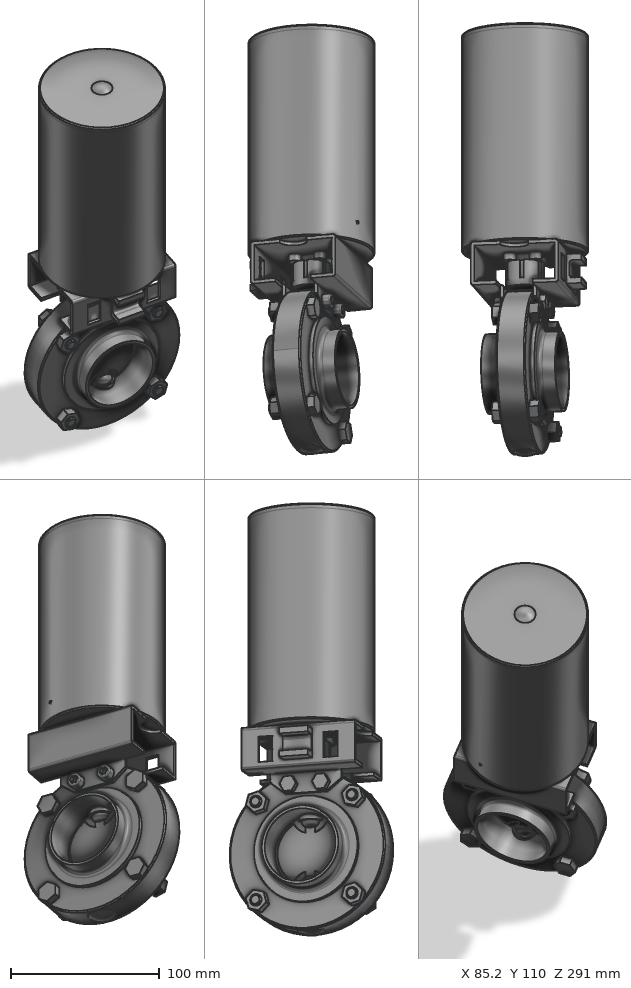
import cadquery as cq
import math


FLANGE_DIAMETER = 110
FLANGE_WIDTH = 20
FLANGE_CHAMFER = 1
COLLAR_DIAMETER = 73
COLLAR_HEIGHT = 3
PIPE_DIAMETER = 54
PIPE_BORE = 50
PIPE_LENGTH = 50.6
NECK_RADIUS = 3.5
BEARING_DIAMETER = 20
BEARING_BOTTOM_Z = -57
BEARING_EDGE_Z = -54

DISC_THICKNESS = 6
DISC_FACE_DIAMETER = 46.4
DISC_EDGE_CHAMFER = 1
HUB_DIAMETER = 14.2
HUB_END_Z = 16
HUB_COLLAR_DIAMETER = 17
HUB_COLLAR_Z = 21.5
HUB_RECESS_DIAMETER = 26
HUB_RECESS_Z = 26
HUB_RECESS_DEPTH = 1
HUB_RIB_WIDTH = 6.8
HUB_RIB_HEIGHT = 6

BOLT_CIRCLE = 96
BOLT_DIAMETER = 8
BOLT_ACROSS_FLATS = 13
BOLT_HEAD_HEIGHT = 5.3
BOLT_NUT_HEIGHT = 6.5
BOLT_NUT_TURN = -15
BOLT_END = 8.2
BOLT_END_CHAMFER = 1

COUPLING_DIAMETER = 26
COUPLING_BOTTOM_Z = FLANGE_DIAMETER / 2
COUPLING_TOP_Z = 75.2
COUPLING_CHAMFER = 3
COUPLING_SLOTS = 6
COUPLING_SLOT_WIDTH = 2.8
COUPLING_SLOT_BOTTOM_Z = 62.8
COUPLING_SLOT_DEPTH = 2

SHEET = 2.5
BRACKET_WIDTH = 60
BRACKET_LENGTH = 80
BRACKET_BOTTOM_Z = 53.2
BRACKET_TOP_Z = 82.8
BRACKET_BEND_RADIUS = 2
TAB_BEND_RADIUS = 0.7
NOTCH_DIAMETER = 19
TAB_WIDTH = 50
TAB_TIP_WIDTH = 29
TAB_SHOULDER_Z = 47.2
TAB_BOTTOM_Z = 39
WINDOW_OUTER_Y = 28
WINDOW_INNER_Y = 18
WINDOW_BOTTOM_Z = 58
WINDOW_TOP_Z = 75.5

SCREW_DIAMETER = 6
SCREW_SPACING = 22.9
SCREW_Z = 45
SCREW_HEAD_DIAMETER = 10
SCREW_HEAD_HEIGHT = 6
SCREW_HEAD_FILLET = 0.8
SCREW_SOCKET_FLATS = 5
SCREW_SOCKET_DEPTH = 3
SCREW_NUT_FLATS = 10
SCREW_NUT_HEIGHT = 4.5

HOLDER_LENGTH = 20
HOLDER_END_X = 40.2
HOLDER_BOTTOM_Z = 58.2
HOLDER_TOP_Z = 78.4
HOLDER_SLOT_WIDTH = 12
HOLDER_SLOT_Z = 68.2
HOLDER_SLOT_FLOOR_X = 32
HOLDER_SLOT_FILLET = 2.4

ACTUATOR_DIAMETER = 85.2
ACTUATOR_TOP_Z = 231.8
ACTUATOR_EDGE = 1
CAP_SEAM_Z = 228.6
BUTTON_DIAMETER = 14.2
BUTTON_HEIGHT = 2.2
DRIVE_SHAFT_DIAMETER = 16
MOUNT_SCREW_DIAMETER = 8.5
MOUNT_SCREW_HEIGHT = 4.8
MOUNT_SCREW_OFFSET = 8.8
VENT_DIAMETER = 2
VENT_Y = 18
VENT_Z = 96.5
VENT_DEPTH = 3

FLANGE_FACE_X = FLANGE_WIDTH / 2
TAB_FACE_X = FLANGE_FACE_X + SHEET


def x_cylinder(diameter, start, end, y=0, z=0):
    """Cylinder along X from start to end."""
    plane = cq.Workplane("YZ", origin=(start, y, z))
    return plane.circle(diameter / 2).extrude(end - start)


def x_hexagon(across_flats, start, end, y, z, turn):
    """Hexagonal prism along X; a zero turn puts two corners in the Y direction."""
    plane = cq.Workplane("YZ", origin=(start, y, z))
    corners = across_flats / math.cos(math.radians(30))
    return plane.transformed(rotate=(0, 0, turn)).polygon(6, corners).extrude(end - start)


def z_cylinder(diameter, bottom, top, x=0, y=0):
    """Cylinder along Z from bottom to top."""
    return cq.Workplane("XY", origin=(x, y, bottom)).circle(diameter / 2).extrude(top - bottom)


def make_flanges_and_pipes():
    """Clamped flange pair with a raised collar and a pipe stub on each side."""
    body = x_cylinder(FLANGE_DIAMETER, -FLANGE_FACE_X, FLANGE_FACE_X).edges().chamfer(FLANGE_CHAMFER)

    collar_x = FLANGE_FACE_X + COLLAR_HEIGHT
    body = body.union(x_cylinder(COLLAR_DIAMETER, -collar_x, collar_x))

    pipe_radius = PIPE_DIAMETER / 2
    arc_reach = NECK_RADIUS * (1 - math.sqrt(0.5))
    pipe = (
        cq.Workplane("XY")
        .lineTo(0, pipe_radius + NECK_RADIUS)
        .lineTo(collar_x, pipe_radius + NECK_RADIUS)
        .threePointArc(
            (collar_x + arc_reach, pipe_radius + arc_reach),
            (collar_x + NECK_RADIUS, pipe_radius),
        )
        .lineTo(PIPE_LENGTH / 2, pipe_radius)
        .lineTo(PIPE_LENGTH / 2, 0)
        .close()
        .revolve(360, (0, 0, 0), (1, 0, 0))
    )
    return body.union(pipe).union(pipe.mirror("YZ"))


def make_lower_bearing():
    """Domed end of the lower disc bearing, showing below the flange."""
    radius = BEARING_DIAMETER / 2
    rise = BEARING_EDGE_Z - BEARING_BOTTOM_Z
    dome_radius = (radius**2 + rise**2) / (2 * rise)
    bearing_top = -PIPE_DIAMETER / 2
    dome = cq.Workplane("XY", origin=(0, 0, BEARING_BOTTOM_Z + dome_radius)).sphere(dome_radius)
    return z_cylinder(BEARING_DIAMETER, BEARING_BOTTOM_Z, bearing_top).intersect(dome)


def make_hub():
    """Upper stem hub of the disc: a round-ended boss with a rib and a collar against the bore."""
    radius = HUB_DIAMETER / 2
    bore_radius = PIPE_BORE / 2
    hub = z_cylinder(HUB_DIAMETER, HUB_END_Z + radius, bore_radius)
    hub = hub.union(cq.Workplane("XY", origin=(0, 0, HUB_END_Z + radius)).sphere(radius))
    rib_bottom = HUB_RECESS_Z - HUB_RECESS_DIAMETER / 2
    rib = cq.Workplane("XY", origin=(0, 0, rib_bottom)).box(
        DISC_THICKNESS, HUB_RIB_WIDTH, HUB_RIB_HEIGHT, centered=(True, True, False)
    )
    hub = hub.union(rib)
    hub = hub.union(z_cylinder(HUB_COLLAR_DIAMETER, HUB_COLLAR_Z, bore_radius))
    return hub.intersect(x_cylinder(PIPE_BORE, -bore_radius, bore_radius))


def make_disc():
    """Closed disc filling the bore, with a recessed stem hub at the top and bottom."""
    half = DISC_THICKNESS / 2
    disc = x_cylinder(PIPE_BORE, -half + DISC_EDGE_CHAMFER, half - DISC_EDGE_CHAMFER)
    disc = disc.union(x_cylinder(DISC_FACE_DIAMETER, -half, half))
    for z in (-HUB_RECESS_Z, HUB_RECESS_Z):
        for face_x in (-half, half - HUB_RECESS_DEPTH):
            recess = x_cylinder(HUB_RECESS_DIAMETER, face_x, face_x + HUB_RECESS_DEPTH, 0, z)
            disc = disc.cut(recess)
    hub = make_hub()
    return disc.union(hub).union(hub.mirror("XY"))


def make_flange_bolt(y, z, turn):
    """Hexagon bolt through both flanges, with its nut."""
    bolt = x_cylinder(BOLT_DIAMETER, -FLANGE_FACE_X, FLANGE_FACE_X + BOLT_END, y, z)
    bolt = bolt.faces(">X").chamfer(BOLT_END_CHAMFER)
    head = x_hexagon(BOLT_ACROSS_FLATS, -FLANGE_FACE_X - BOLT_HEAD_HEIGHT, -FLANGE_FACE_X, y, z, turn)
    nut_end = FLANGE_FACE_X + BOLT_NUT_HEIGHT
    nut = x_hexagon(BOLT_ACROSS_FLATS, FLANGE_FACE_X, nut_end, y, z, turn + BOLT_NUT_TURN)
    return bolt.union(head).union(nut)


def make_coupling():
    """Slotted coupling on the stem, seated on the flange."""
    coupling = z_cylinder(COUPLING_DIAMETER, COUPLING_BOTTOM_Z, COUPLING_TOP_Z)
    coupling = coupling.faces("<Z").chamfer(COUPLING_CHAMFER)
    slot_height = COUPLING_TOP_Z - COUPLING_SLOT_BOTTOM_Z
    for index in range(COUPLING_SLOTS):
        slot = (
            cq.Workplane("XY", origin=(0, -COUPLING_DIAMETER / 2, COUPLING_SLOT_BOTTOM_Z))
            .box(COUPLING_SLOT_WIDTH, 2 * COUPLING_SLOT_DEPTH, slot_height, centered=(True, True, False))
            .rotate((0, 0, 0), (0, 0, 1), index * 360 / COUPLING_SLOTS)
        )
        coupling = coupling.cut(slot)
    stem = z_cylinder(DRIVE_SHAFT_DIAMETER, PIPE_DIAMETER / 2, COUPLING_TOP_Z)
    return coupling.union(stem)


def make_valve():
    """Valve with its disc, flange bolts and stem coupling."""
    valve = make_flanges_and_pipes().union(make_lower_bearing())
    valve = valve.cut(x_cylinder(PIPE_BORE, -PIPE_LENGTH / 2, PIPE_LENGTH / 2))
    valve = valve.union(make_disc()).union(make_coupling())
    for index in range(4):
        angle = math.radians(45 + 90 * index)
        y = BOLT_CIRCLE / 2 * math.cos(angle)
        z = BOLT_CIRCLE / 2 * math.sin(angle)
        valve = valve.union(make_flange_bolt(y, z, 90 * index))
    for y in (-SCREW_SPACING / 2, SCREW_SPACING / 2):
        valve = valve.cut(x_cylinder(SCREW_DIAMETER, -FLANGE_FACE_X, FLANGE_FACE_X, y, SCREW_Z))
    return valve


def make_bracket_tab():
    """Tapered tab beside the -X face of the flange, and the small bend that joins it to the sheet."""
    tab = (
        cq.Workplane("YZ", origin=(-TAB_FACE_X, 0, 0))
        .moveTo(-TAB_WIDTH / 2, BRACKET_BOTTOM_Z + SHEET)
        .lineTo(-TAB_WIDTH / 2, TAB_SHOULDER_Z)
        .lineTo(-TAB_TIP_WIDTH / 2, TAB_BOTTOM_Z)
        .lineTo(TAB_TIP_WIDTH / 2, TAB_BOTTOM_Z)
        .lineTo(TAB_WIDTH / 2, TAB_SHOULDER_Z)
        .lineTo(TAB_WIDTH / 2, BRACKET_BOTTOM_Z + SHEET)
        .close()
        .extrude(SHEET)
        .edges("|Y and >Z and >X")
        .fillet(BRACKET_BEND_RADIUS)
    )
    bend_x = -TAB_FACE_X - TAB_BEND_RADIUS
    bend_z = BRACKET_BOTTOM_Z - TAB_BEND_RADIUS
    bend = (
        cq.Workplane("XZ", origin=(0, TAB_WIDTH / 2, 0))
        .moveTo(bend_x, BRACKET_BOTTOM_Z)
        .radiusArc((-TAB_FACE_X, bend_z), TAB_BEND_RADIUS)
        .lineTo(-TAB_FACE_X, BRACKET_BOTTOM_Z)
        .close()
        .extrude(TAB_WIDTH)
    )
    return tab, bend


def make_bracket():
    """Folded sheet bracket, open between its two tabs."""
    height = BRACKET_TOP_Z - BRACKET_BOTTOM_Z
    middle_z = (BRACKET_TOP_Z + BRACKET_BOTTOM_Z) / 2
    at_middle = cq.Workplane("XY", origin=(0, 0, middle_z))
    outside = at_middle.box(BRACKET_WIDTH, BRACKET_LENGTH, height).edges("|Y").fillet(BRACKET_BEND_RADIUS)
    inside = at_middle.box(BRACKET_WIDTH - 2 * SHEET, BRACKET_LENGTH, height - 2 * SHEET)
    mouth = cq.Workplane("XY", origin=(0, 0, BRACKET_BOTTOM_Z)).box(
        2 * FLANGE_FACE_X + 2 * SHEET, BRACKET_LENGTH, 2 * SHEET
    )
    bracket = outside.cut(inside).cut(mouth)

    for y in (-BRACKET_LENGTH / 2, BRACKET_LENGTH / 2):
        bracket = bracket.cut(z_cylinder(NOTCH_DIAMETER, BRACKET_TOP_Z - SHEET, BRACKET_TOP_Z, y=y))

    window_centre = (WINDOW_OUTER_Y + WINDOW_INNER_Y) / 2
    for y in (-window_centre, window_centre):
        window = cq.Workplane(
            "XY", origin=(BRACKET_WIDTH / 2, y, (WINDOW_BOTTOM_Z + WINDOW_TOP_Z) / 2)
        ).box(2 * SHEET, WINDOW_OUTER_Y - WINDOW_INNER_Y, WINDOW_TOP_Z - WINDOW_BOTTOM_Z)
        bracket = bracket.cut(window)

    for piece in make_bracket_tab():
        bracket = bracket.union(piece).union(piece.mirror("YZ"))
    return bracket


def make_bracket_screw(y):
    """Socket head screw through both tabs and the flange, with its nut."""
    head_x = -TAB_FACE_X - SCREW_HEAD_HEIGHT
    head = x_cylinder(SCREW_HEAD_DIAMETER, head_x, -TAB_FACE_X, y, SCREW_Z)
    head = head.faces("<X").edges().fillet(SCREW_HEAD_FILLET)
    head = head.cut(x_hexagon(SCREW_SOCKET_FLATS, head_x, head_x + SCREW_SOCKET_DEPTH, y, SCREW_Z, 0))
    nut_end = TAB_FACE_X + SCREW_NUT_HEIGHT
    nut = x_hexagon(SCREW_NUT_FLATS, TAB_FACE_X, nut_end, y, SCREW_Z, 0)
    shank = x_cylinder(SCREW_DIAMETER, -TAB_FACE_X, nut_end, y, SCREW_Z)
    return shank.union(head).union(nut)


def make_sensor_holder():
    """U-shaped holder on the +X wall of the bracket."""
    wall_x = BRACKET_WIDTH / 2
    holder = cq.Workplane("XY", origin=(wall_x, 0, HOLDER_BOTTOM_Z)).box(
        HOLDER_END_X - wall_x, HOLDER_LENGTH, HOLDER_TOP_Z - HOLDER_BOTTOM_Z, centered=(False, True, False)
    )
    slot_depth = HOLDER_END_X - HOLDER_SLOT_FLOOR_X
    slot = (
        cq.Workplane("XY", origin=(HOLDER_SLOT_FLOOR_X, 0, HOLDER_SLOT_Z))
        .box(slot_depth, HOLDER_LENGTH, HOLDER_SLOT_WIDTH, centered=(False, True, True))
        .edges("|Y and <X")
        .fillet(HOLDER_SLOT_FILLET)
    )
    return holder.cut(slot)


def make_cylinder():
    """Actuator cylinder with its cap seam, top button and vent hole."""
    cylinder = z_cylinder(ACTUATOR_DIAMETER, BRACKET_TOP_Z, CAP_SEAM_Z).faces("<Z").chamfer(ACTUATOR_EDGE)
    cap = z_cylinder(ACTUATOR_DIAMETER, CAP_SEAM_Z, ACTUATOR_TOP_Z).faces(">Z").chamfer(ACTUATOR_EDGE)
    button_radius = BUTTON_DIAMETER / 2
    dome_radius = (button_radius**2 + BUTTON_HEIGHT**2) / (2 * BUTTON_HEIGHT)
    button_top = ACTUATOR_TOP_Z + BUTTON_HEIGHT
    dome = cq.Workplane("XY", origin=(0, 0, button_top - dome_radius)).sphere(dome_radius)
    button = z_cylinder(BUTTON_DIAMETER, ACTUATOR_TOP_Z, button_top).intersect(dome)

    radius = ACTUATOR_DIAMETER / 2
    vent_angle = math.degrees(math.asin(VENT_Y / radius))
    vent = x_cylinder(VENT_DIAMETER, -radius, -radius + VENT_DEPTH, 0, VENT_Z)
    vent = vent.rotate((0, 0, 0), (0, 0, 1), -vent_angle)
    return cylinder.union(cap, clean=False).union(button, clean=False).cut(vent, clean=False)


def make_actuator():
    """Actuator with its drive shaft, mounting bracket, screws and sensor holder."""
    actuator = make_cylinder()
    actuator = actuator.union(z_cylinder(DRIVE_SHAFT_DIAMETER, COUPLING_TOP_Z, BRACKET_TOP_Z), clean=False)
    plate_bottom = BRACKET_TOP_Z - SHEET
    bracket = make_bracket().union(make_sensor_holder())
    for x in (-MOUNT_SCREW_OFFSET, MOUNT_SCREW_OFFSET):
        for y in (-MOUNT_SCREW_OFFSET, MOUNT_SCREW_OFFSET):
            head = z_cylinder(MOUNT_SCREW_DIAMETER, plate_bottom - MOUNT_SCREW_HEIGHT, plate_bottom, x, y)
            bracket = bracket.union(head)
    for y in (-SCREW_SPACING / 2, SCREW_SPACING / 2):
        bracket = bracket.union(make_bracket_screw(y))
    return actuator.union(bracket, clean=False)


valve = make_valve()
actuator = make_actuator()
result = cq.Compound.makeCompound([valve.solids().val(), actuator.solids().val()])